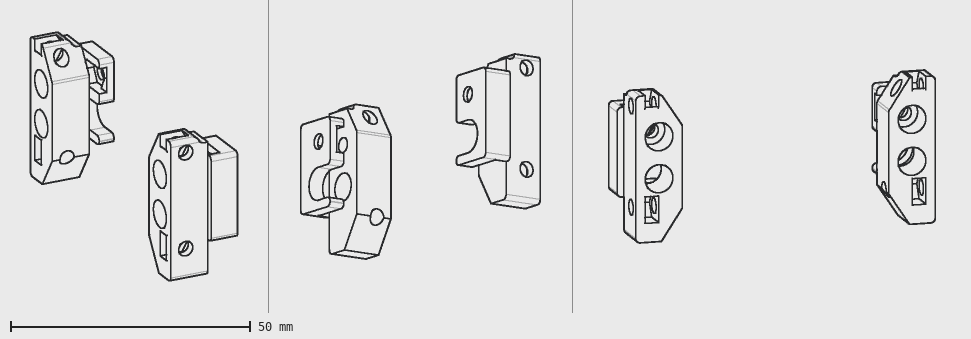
import cadquery as cq
import math


TOTAL_WIDTH = 68.2
TOTAL_DEPTH = 14.9
BLOCK_HEIGHT = 31.5
OUTER_X = -TOTAL_WIDTH / 2

BLOCK_WIDTH = 10.15
BLOCK_DEPTH = 8.65
FLAT_END_WIDTH = 5.6
SLANT_HEIGHT = 6.9
BLOCK_FILLET = 1.0
TOP_CORNER_FILLET = 1.2

STEP_FLAT = 1.0
STEP_RISE = 1.4
STEP_RUN = 2.05

BORE_DIAMETER = 6.0
BORE_DEPTH = 6.0
SCREW_DIAMETER = 3.2
UPPER_BORE_Z = 22.5
LOWER_BORE_Z = 13.5
CROSS_SCREW_DIAMETER = 3.3
CROSS_SCREW_Y = 3.5
UPPER_CROSS_Z = BLOCK_HEIGHT - 2.85
LOWER_CROSS_Z = 6.95
NUT_FLATS = 5.65
NUT_CORNERS = NUT_FLATS / math.cos(math.radians(30))
TRAP_OFFSET = 2.05
TRAP_WIDTH = 2.9
UPPER_TRAP_ANGLE = 60
LOWER_TRAP_ANGLE = 0

CLIP_WIDTH = 10.85
CLIP_HEIGHT = 19.2
CLIP_BOTTOM_Z = 8.0
CLIP_PLATE_DEPTH = 3.5
CLIP_FILLET = 0.95
SIDE_WALL = 1.5
RELIEF_WIDTH = 7.0
NUT_ENTRY_DEPTH = 1.8
NUT_SEAT_DEPTH = 2.5

BLOCK_X = OUTER_X + SIDE_WALL
BLOCK_INNER_X = BLOCK_X + BLOCK_WIDTH
BORE_X = BLOCK_X + BLOCK_WIDTH / 2
CLIP_INNER_X = OUTER_X + CLIP_WIDTH
PLATE_FRONT_Y = TOTAL_DEPTH - CLIP_PLATE_DEPTH


def box(x, y, z, width, depth, height):
    """Box with its lowest corner at (x, y, z)."""
    return cq.Workplane("XY").box(width, depth, height, centered=False).translate((x, y, z))


def cylinder_along_y(diameter, x, z, y_start, length):
    """Cylinder running toward +Y from y_start."""
    circle = cq.Workplane("XZ", origin=(x, y_start, z)).circle(diameter / 2)
    return circle.extrude(-length)


def fillet_y_edge(body, radius, x, z):
    """Round the edge parallel to Y that passes nearest to (x, z)."""
    middle = (x, body.val().Center().y, z)
    return body.edges("|Y").edges(cq.NearestToPointSelector(middle)).fillet(radius)


def block_blank(round_top_corner):
    """Block with sloped inner corners and rounded edges along Y."""
    flat_end_x = BLOCK_X + FLAT_END_WIDTH
    upper_slant_z = BLOCK_HEIGHT - SLANT_HEIGHT
    outline = [
        (BLOCK_X, 0),
        (flat_end_x, 0),
        (BLOCK_INNER_X, SLANT_HEIGHT),
        (BLOCK_INNER_X, upper_slant_z),
        (flat_end_x, BLOCK_HEIGHT),
        (BLOCK_X, BLOCK_HEIGHT),
    ]
    body = cq.Workplane("XZ").polyline(outline).close().extrude(-BLOCK_DEPTH)
    body = fillet_y_edge(body, BLOCK_FILLET, BLOCK_X, 0)
    body = fillet_y_edge(body, BLOCK_FILLET, BLOCK_X, BLOCK_HEIGHT)
    body = fillet_y_edge(body, BLOCK_FILLET, BLOCK_INNER_X, upper_slant_z)
    if round_top_corner:
        body = fillet_y_edge(body, TOP_CORNER_FILLET, flat_end_x, BLOCK_HEIGHT)
    return body


def back_step():
    """Material removed above the S-shaped step: two equal tangent arcs, then a flat ledge."""
    curve_top_y = BLOCK_DEPTH - STEP_FLAT - STEP_RUN
    curve_bottom_y = BLOCK_DEPTH - STEP_FLAT
    ledge_z = BLOCK_HEIGHT - STEP_RISE
    middle = (curve_top_y + STEP_RUN / 2, BLOCK_HEIGHT - STEP_RISE / 2)
    arc_radius = (STEP_RISE**2 + STEP_RUN**2) / (4 * STEP_RISE)
    profile = (
        cq.Workplane("YZ", origin=(BLOCK_X, 0, 0))
        .moveTo(curve_top_y, BLOCK_HEIGHT)
        .radiusArc(middle, arc_radius)
        .radiusArc((curve_bottom_y, ledge_z), -arc_radius)
        .lineTo(BLOCK_DEPTH, ledge_z)
        .lineTo(BLOCK_DEPTH, BLOCK_HEIGHT)
        .close()
    )
    return profile.extrude(BLOCK_WIDTH)


def nut_trap(z, angle):
    """Hexagonal seat around a cross screw, open along a slot tilted up from -Y by the angle."""
    trap_x = BLOCK_X + TRAP_OFFSET
    seat = (
        cq.Workplane("YZ", origin=(trap_x, CROSS_SCREW_Y, z))
        .polygon(6, NUT_CORNERS)
        .extrude(TRAP_WIDTH)
    )
    slot_length = BLOCK_DEPTH
    slot_y = CROSS_SCREW_Y - slot_length
    slot = box(trap_x, slot_y, z - NUT_FLATS / 2, TRAP_WIDTH, slot_length, NUT_FLATS)
    axis_start = (trap_x, CROSS_SCREW_Y, z)
    axis_end = (trap_x + TRAP_WIDTH, CROSS_SCREW_Y, z)
    slot = slot.rotate(axis_start, axis_end, -angle)
    return seat.union(slot)


def cross_screw_hole(z):
    """Hole through the whole block along X."""
    circle = cq.Workplane("YZ", origin=(BLOCK_X, CROSS_SCREW_Y, z)).circle(CROSS_SCREW_DIAMETER / 2)
    return circle.extrude(BLOCK_WIDTH)


def clamp_block(round_top_corner):
    """Left clamp block."""
    body = block_blank(round_top_corner).cut(back_step())
    body = body.cut(cylinder_along_y(BORE_DIAMETER, BORE_X, LOWER_BORE_Z, 0, BLOCK_DEPTH))
    body = body.cut(cylinder_along_y(BORE_DIAMETER, BORE_X, UPPER_BORE_Z, 0, BORE_DEPTH))
    body = body.cut(cylinder_along_y(SCREW_DIAMETER, BORE_X, UPPER_BORE_Z, 0, BLOCK_DEPTH))
    for z, angle in ((UPPER_CROSS_Z, UPPER_TRAP_ANGLE), (LOWER_CROSS_Z, LOWER_TRAP_ANGLE)):
        body = body.cut(cross_screw_hole(z))
        body = body.cut(nut_trap(z, angle))
    return body


def clip_blank():
    """L-shaped clip: a back plate and a side wall reaching forward to the block's back corner."""
    wall_depth = TOTAL_DEPTH - BLOCK_DEPTH
    wall = box(OUTER_X, BLOCK_DEPTH, CLIP_BOTTOM_Z, SIDE_WALL, wall_depth, CLIP_HEIGHT)
    plate = box(OUTER_X, PLATE_FRONT_Y, CLIP_BOTTOM_Z, CLIP_WIDTH, CLIP_PLATE_DEPTH, CLIP_HEIGHT)
    body = wall.union(plate)
    for x in (OUTER_X, CLIP_INNER_X):
        for z in (CLIP_BOTTOM_Z, CLIP_BOTTOM_Z + CLIP_HEIGHT):
            body = fillet_y_edge(body, CLIP_FILLET, x, z)
    return body


def bore_relief():
    """Slot with a round end on the lower bore axis, open toward the inner side."""
    slot_bottom_z = LOWER_BORE_Z - RELIEF_WIDTH / 2
    slot_length = CLIP_INNER_X - BORE_X
    slot = box(BORE_X, PLATE_FRONT_Y, slot_bottom_z, slot_length, CLIP_PLATE_DEPTH, RELIEF_WIDTH)
    round_end = cylinder_along_y(RELIEF_WIDTH, BORE_X, LOWER_BORE_Z, PLATE_FRONT_Y, CLIP_PLATE_DEPTH)
    return slot.union(round_end)


def clip_nut_pocket():
    """Hexagonal nut seat in the plate front with a shallower entry from the inner side."""
    seat = (
        cq.Workplane("XZ", origin=(BORE_X, PLATE_FRONT_Y, UPPER_BORE_Z))
        .polygon(6, NUT_CORNERS)
        .extrude(-NUT_SEAT_DEPTH)
    )
    entry_bottom_z = UPPER_BORE_Z - NUT_FLATS / 2
    entry_length = CLIP_INNER_X - BORE_X
    entry = box(BORE_X, PLATE_FRONT_Y, entry_bottom_z, entry_length, NUT_ENTRY_DEPTH, NUT_FLATS)
    return seat.union(entry)


def clip():
    """Left clip."""
    body = clip_blank().cut(bore_relief()).cut(clip_nut_pocket())
    screw_hole = cylinder_along_y(SCREW_DIAMETER, BORE_X, UPPER_BORE_Z, PLATE_FRONT_Y, CLIP_PLATE_DEPTH)
    body = body.cut(screw_hole)
    for z in (LOWER_BORE_Z - RELIEF_WIDTH / 2, LOWER_BORE_Z + RELIEF_WIDTH / 2):
        body = fillet_y_edge(body, CLIP_FILLET, CLIP_INNER_X, z)
    return body


left_block = clamp_block(round_top_corner=True)
right_block = clamp_block(round_top_corner=False).mirror("YZ")
left_clip = clip()
right_clip = left_clip.mirror("YZ")

result = cq.Compound.makeCompound([
    left_block.val(),
    right_block.val(),
    left_clip.val(),
    right_clip.val(),
])